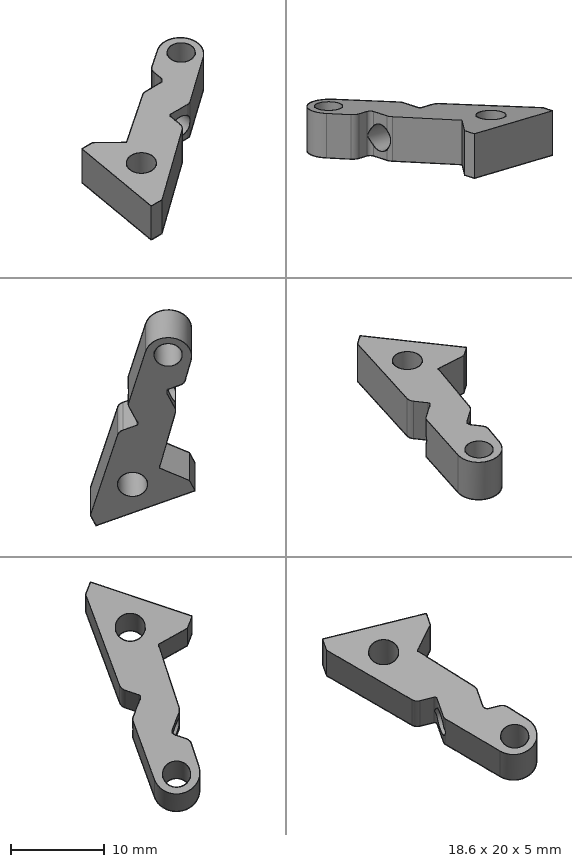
import math

import cadquery as cq

thickness = 5.0
overall_length_x = 18.57
overall_length_y = 19.98

foot_half_width = 5.77
foot_height = 1.5
foot_hole_diameter = 3.2
foot_hole_y = 3.46

tip_radius = 2.5
tip_x = foot_half_width - overall_length_x + tip_radius
tip_y = overall_length_y - tip_radius
tip_hole_diameter = 3.0
tip_hole_x = -10.38
tip_hole_y = 17.67

left_edge_angle = math.radians(53.13)
right_tip_edge_angle = math.radians(51.5)

left_ledge_y = 13.48
left_wall_x = -8.21
left_wall_bottom_y = 10.59
crotch_y = 4.3
crotch_x = left_wall_x + (left_wall_bottom_y - crotch_y) / math.tan(left_edge_angle)
ledge_round = 1.0
left_notch_fillet = 0.5
left_wall_round = 1.0

right_wall_x = -3.79
shoulder_y = 10.47
shoulder_x = -1.47
right_wall_round = 0.5
right_notch_fillet = 0.25
shoulder_round = 1.0

cross_hole_diameter = 3.0
cross_hole_y = (left_ledge_y + shoulder_y) / 2
cross_hole_z = 2.3


def tip_tangent_point(edge_angle, side):
    """Point where an edge sloping down to the right meets the tip arc (side -1 is left, 1 is right)."""
    return (
        tip_x + side * tip_radius * math.sin(edge_angle),
        tip_y + side * tip_radius * math.cos(edge_angle),
    )


left_tangent = tip_tangent_point(left_edge_angle, -1)
right_tangent = tip_tangent_point(right_tip_edge_angle, 1)
ledge_end_x = left_tangent[0] + (left_tangent[1] - left_ledge_y) / math.tan(left_edge_angle)
right_wall_top_y = right_tangent[1] - (right_wall_x - right_tangent[0]) * math.tan(right_tip_edge_angle)

rounded_corners = [
    ((ledge_end_x, left_ledge_y), ledge_round),
    ((left_wall_x, left_ledge_y), left_notch_fillet),
    ((left_wall_x, left_wall_bottom_y), left_wall_round),
    ((right_wall_x, right_wall_top_y), right_wall_round),
    ((right_wall_x, shoulder_y), right_notch_fillet),
    ((shoulder_x, shoulder_y), shoulder_round),
]


def make_plate():
    """Sharp-cornered arm with its rounded tip, extruded up from Z = 0."""
    mean_edge_angle = (left_edge_angle + right_tip_edge_angle) / 2
    arc_middle = (
        tip_x - tip_radius * math.cos(mean_edge_angle),
        tip_y + tip_radius * math.sin(mean_edge_angle),
    )
    return (
        cq.Workplane("XY")
        .moveTo(-foot_half_width, 0)
        .lineTo(foot_half_width, 0)
        .lineTo(foot_half_width, foot_height)
        .lineTo(shoulder_x, shoulder_y)
        .lineTo(right_wall_x, shoulder_y)
        .lineTo(right_wall_x, right_wall_top_y)
        .lineTo(*right_tangent)
        .threePointArc(arc_middle, left_tangent)
        .lineTo(ledge_end_x, left_ledge_y)
        .lineTo(left_wall_x, left_ledge_y)
        .lineTo(left_wall_x, left_wall_bottom_y)
        .lineTo(crotch_x, crotch_y)
        .lineTo(-foot_half_width, foot_height)
        .close()
        .extrude(thickness)
    )


def round_corners(body):
    """Fillet each listed vertical corner edge with its own radius."""
    for (x, y), radius in rounded_corners:
        corner_edge = cq.selectors.NearestToPointSelector((x, y, thickness / 2))
        body = body.edges("|Z").edges(corner_edge).fillet(radius)
    return body


def vertical_hole(x, y, diameter):
    """Cutter for a hole through the full thickness."""
    return cq.Workplane("XY").center(x, y).circle(diameter / 2).extrude(thickness)


def cross_hole():
    """Cutter running along X through the whole part."""
    return (
        cq.Workplane("YZ", origin=(foot_half_width - overall_length_x, cross_hole_y, cross_hole_z))
        .circle(cross_hole_diameter / 2)
        .extrude(overall_length_x)
    )


result = (
    round_corners(make_plate())
    .cut(vertical_hole(0, foot_hole_y, foot_hole_diameter))
    .cut(vertical_hole(tip_hole_x, tip_hole_y, tip_hole_diameter))
    .cut(cross_hole())
)